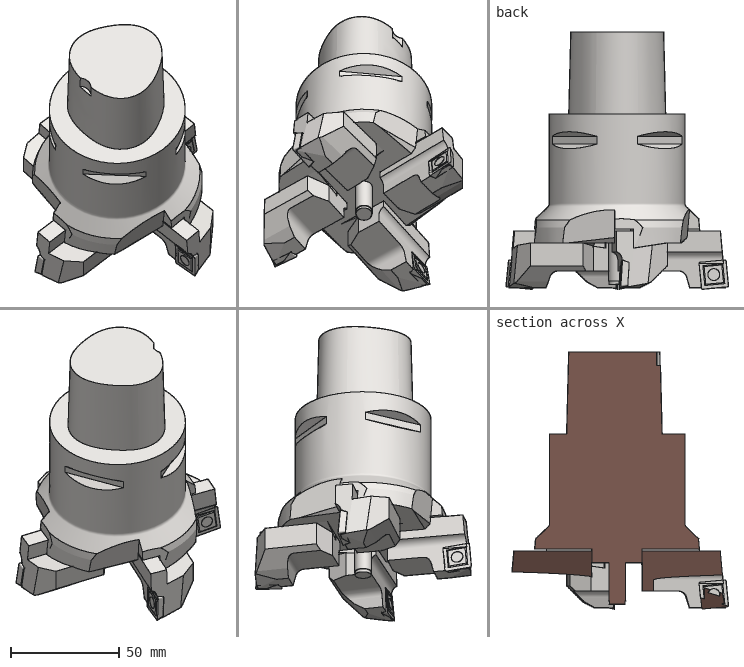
import cadquery as cq
import math

TOP_Z = 119.2
FLANGE_Z = 81.2
SHANK_MEAN_RADIUS = 22.2
SHANK_LOBE = 1.3
SHANK_TAPER = 1.0
SHANK_FLAT_HALF_ANGLE = 34.0
KEY_RADIUS = 5.4
KEY_WALL_Y = 18.4
KEY_HEIGHT = 6.3

COLLAR_RADIUS = 31.5
COLLAR_FOOT_Z = 39.7
GROOVE_MID_Z = 69.0
GROOVE_FLOOR_HEIGHT = 3.6
GROOVE_MOUTH_HEIGHT = 7.9
GROOVE_FLOOR_DISTANCE = 27.9

CONE_TOP_RADIUS = 32.2
CONE_TOP_Z = 38.1
CONE_FOOT_RADIUS = 38.3
CONE_FOOT_Z = 32.2
RIM_RADIUS = 39.3
RIM_TOP_Z = 28.6
RIM_Z = 21.5
HUB_FOOT_Z = 18.5
PIN_RADIUS = 3.99
PIN_FOOT_Z = 3.8
PIN_TIP_RADIUS = 3.7
PIN_TIP_Z = 2.3
HUB_FLAT_RADIUS = 38.7
END_TILT = 5.1
FLUTE_FLOOR_RADIUS = 33.5
FLUTE_ANGLES = [12.0, 8.0, 7.0, 11.0]
FLUTE_LEAN = 5.0
FLUTE_TOP_Z = 37.0
FLUTE_BEVEL_HEIGHT = 2.5
FLUTE_BEVEL_LENGTH = 23.8

CARTRIDGE_ANGLES = [3.4, 93.1, 180.0, 271.2]
INNER_END = 11.7
OUTER_REACH = 59.6
FACE_T = -3.0
TONGUE_BACK_T = 5.0
TONGUE_TOP_Z = 27.1
BLOCK_BACK_T = 21.0
BLOCK_FRONT_Z = 19.1
BACK_CHAMFER_Z = 10.8
SHOULDER_T = 13.2
SHOULDER_Z = 3.5
SOLE_BACK_T = 8.3
SOLE_Z = 0.7
LOWER_FACE_T = -0.4
RELIEF_RADIUS = 3.99
RELIEF_FOOT_Z = 13.6
END_RADIUS_TOP = 47.8
SIDE_FACET_T = 13.8
SIDE_FACET_ANGLE = 9.0
SIDE_FACET_TILT = 4.0
BACK_FACET_ANGLE = 37.5
SIDE_FACET_RADIUS = 47.0
SOLE_RELIEF_RADIUS = 39.1
SOLE_RISE_OUTWARD = 0.15
SOLE_RISE_BACK = 0.2
ARCH_Z = 8.5
ARCH_RADIUS = 28.4
TOOTH_TOP_RADIUS = 32.2
TOOTH_TOP_Z = 5.2
TOOTH_FOOT_RADIUS = 33.5
INNER_FACET_T = 11.5
INNER_FACET_BACK = 17.0
SEAT_GAP = 0.5
SEAT_TOP_Z = 27.9

INSERT_SIZE = 12.6
INSERT_THICKNESS = 3.2
INSERT_CORNER = 0.7
INSERT_RADIUS = 44.7
INSERT_MID_Z = 6.8
INSERT_FACE_T = -0.7
INSERT_LEAD_ANGLE = 5.4
INSERT_RAKE = 4.0
INSERT_CLEARANCE = 15.0
DIMPLE_RADIUS = 2.7
DIMPLE_DEPTH = 0.1
LAND_FOOT_SIZE = 9.3
LAND_TOP_SIZE = 8.2
LAND_HEIGHT = 0.4

BIG = 119.2


def half_space(point, normal):
    """Large block that fills the side of a plane toward which the normal points."""
    return cq.Workplane(cq.Plane(origin=point, normal=normal)).rect(BIG, BIG).extrude(BIG)


def tilted_end(radius, t, z, turn=0.0, lean=END_TILT):
    """Space outside an end face that is turned about Z and leans outward toward the foot."""
    turn_rad = math.radians(turn)
    tilt = math.radians(lean)
    normal = (
        math.cos(tilt) * math.cos(turn_rad),
        math.cos(tilt) * math.sin(turn_rad),
        math.sin(tilt),
    )
    return half_space((radius, t, z), normal)


def turned(shape, angle):
    return shape.rotate((0, 0, 0), (0, 0, 1), angle)


def shank_section(z, mean_radius):
    """Three-lobed outline in six smooth stretches: three flat sides and three lobes."""
    def point(angle):
        radius = mean_radius + SHANK_LOBE * math.cos(3 * math.radians(angle - 90))
        return cq.Vector(
            radius * math.cos(math.radians(angle)), radius * math.sin(math.radians(angle)), z
        )

    edges = []
    steps = 12
    for flat_mid in (-90, 30, 150):
        start = flat_mid - SHANK_FLAT_HALF_ANGLE
        middle = flat_mid + SHANK_FLAT_HALF_ANGLE
        end = start + 120
        for first, last in ((start, middle), (middle, end)):
            points = [point(first + (last - first) * i / steps) for i in range(steps + 1)]
            edges.append(cq.Edge.makeSpline(points))
    return cq.Wire.assembleEdges(edges)


def make_shank():
    sections = [
        shank_section(FLANGE_Z, SHANK_MEAN_RADIUS),
        shank_section(TOP_Z, SHANK_MEAN_RADIUS - SHANK_TAPER),
    ]
    shank = cq.Workplane(cq.Solid.makeLoft(sections, True))
    notch = (
        cq.Workplane("XY", origin=(0, -KEY_WALL_Y - KEY_RADIUS, TOP_Z - KEY_HEIGHT))
        .circle(KEY_RADIUS)
        .extrude(KEY_HEIGHT)
    )
    return shank.cut(notch)


def hub_outside(foot_z):
    """Collar, cone and rim as one turned solid that ends flat at foot_z."""
    return (
        cq.Workplane("XZ")
        .moveTo(0, FLANGE_Z)
        .lineTo(COLLAR_RADIUS, FLANGE_Z)
        .lineTo(COLLAR_RADIUS, COLLAR_FOOT_Z)
        .tangentArcPoint((CONE_TOP_RADIUS, CONE_TOP_Z), relative=False)
        .lineTo(CONE_FOOT_RADIUS, CONE_FOOT_Z)
        .lineTo(RIM_RADIUS, RIM_TOP_Z)
        .lineTo(RIM_RADIUS, foot_z)
        .lineTo(0, foot_z)
        .close()
        .revolve(360, (0, 0, 0), (0, 1, 0))
    )


def cartridge_cover():
    """Block of hub material that rests on the sloping top of one cartridge."""
    return (
        cq.Workplane("YZ", origin=(INNER_END, 0, 0))
        .polyline([
            (TONGUE_BACK_T, BLOCK_FRONT_Z),
            (BLOCK_BACK_T, RIM_Z),
            (BLOCK_BACK_T, RIM_TOP_Z),
            (TONGUE_BACK_T, RIM_TOP_Z),
        ])
        .close()
        .extrude(OUTER_REACH)
    )


def gripper_groove():
    """Trapezoidal groove across the collar on the +X side."""
    depth = COLLAR_RADIUS - GROOVE_FLOOR_DISTANCE
    floor_half = GROOVE_FLOOR_HEIGHT / 2
    mouth_half = GROOVE_MOUTH_HEIGHT / 2
    return (
        cq.Workplane("XZ", origin=(GROOVE_FLOOR_DISTANCE, 0, GROOVE_MID_Z))
        .polyline([(0, -floor_half), (depth, -mouth_half), (depth, mouth_half), (0, floor_half)])
        .close()
        .extrude(COLLAR_RADIUS, both=True)
    )


def flute(angle):
    """Chip space in front of one cartridge: a leaning flat floor that ends at the leading face."""
    turn = math.radians(-angle)
    lean = math.radians(FLUTE_LEAN)
    outward = (
        math.cos(lean) * math.cos(turn),
        math.cos(lean) * math.sin(turn),
        -math.sin(lean),
    )
    floor = half_space((FLUTE_FLOOR_RADIUS, FACE_T, FLUTE_TOP_Z), outward)
    bevel_z = RIM_Z + FLUTE_BEVEL_HEIGHT
    bevel_radius = FLUTE_FLOOR_RADIUS - (FLUTE_TOP_Z - bevel_z) * math.tan(lean)
    bevel_fall = FLUTE_BEVEL_HEIGHT / FLUTE_BEVEL_LENGTH
    bevel = half_space(
        (bevel_radius, FACE_T, bevel_z), (1, bevel_fall - math.tan(math.radians(angle)), -1)
    )
    ahead_of_face = half_space((0, FACE_T, 0), (0, -1, 0))
    return floor.union(bevel).intersect(ahead_of_face)


def tongue_seat():
    """Slot in the hub for one tongue, with clearance above and behind it."""
    width = TONGUE_BACK_T + SEAT_GAP - FACE_T
    return cq.Workplane("XY").box(OUTER_REACH, width, SEAT_TOP_Z, centered=False).translate(
        (INNER_END, FACE_T, 0)
    )


def make_hub(cartridge):
    hub = hub_outside(RIM_Z)
    for angle in CARTRIDGE_ANGLES:
        hub = hub.union(turned(cartridge_cover(), angle).intersect(hub_outside(HUB_FOOT_Z)))
    for angle, flute_angle in zip(CARTRIDGE_ANGLES, FLUTE_ANGLES):
        hub = hub.cut(turned(flute(flute_angle), angle))
        hub = hub.cut(turned(tilted_end(HUB_FLAT_RADIUS, 0, RIM_Z), angle))
        hub = hub.cut(turned(tongue_seat(), angle))
        hub = hub.cut(turned(cartridge, angle))
    for quarter in range(4):
        hub = hub.cut(turned(gripper_groove(), 45 + 90 * quarter))
    pin = cq.Workplane("XY", origin=(0, 0, PIN_FOOT_Z)).circle(PIN_RADIUS)
    pin = pin.extrude(SEAT_TOP_Z - PIN_FOOT_Z)
    tip = cq.Workplane("XY", origin=(0, 0, PIN_TIP_Z)).circle(PIN_TIP_RADIUS)
    tip = tip.extrude(PIN_FOOT_Z - PIN_TIP_Z)
    return hub.union(make_shank()).union(pin).union(tip)


def cartridge_profile():
    """Tongue and block seen along the radius, run out along the radius."""
    hollow_t = LOWER_FACE_T - RELIEF_RADIUS
    lip_z = RELIEF_FOOT_Z + math.sqrt(RELIEF_RADIUS**2 - (FACE_T - hollow_t) ** 2)
    mid = math.atan2(lip_z - RELIEF_FOOT_Z, FACE_T - hollow_t) / 2
    hollow_mid = (
        hollow_t + RELIEF_RADIUS * math.cos(mid), RELIEF_FOOT_Z + RELIEF_RADIUS * math.sin(mid)
    )
    return (
        cq.Workplane("YZ", origin=(INNER_END, 0, 0))
        .moveTo(FACE_T, TONGUE_TOP_Z)
        .lineTo(TONGUE_BACK_T, TONGUE_TOP_Z)
        .lineTo(TONGUE_BACK_T, BLOCK_FRONT_Z)
        .lineTo(BLOCK_BACK_T, RIM_Z)
        .lineTo(BLOCK_BACK_T, BACK_CHAMFER_Z)
        .lineTo(SHOULDER_T, SHOULDER_Z)
        .lineTo(SOLE_BACK_T, SOLE_Z)
        .lineTo(LOWER_FACE_T, SOLE_Z)
        .lineTo(LOWER_FACE_T, RELIEF_FOOT_Z)
        .threePointArc(hollow_mid, (FACE_T, lip_z))
        .close()
        .extrude(OUTER_REACH)
    )


def under_arch():
    """Space under the inner part of the cartridge, up to the inner side of the tooth."""
    return (
        cq.Workplane("XZ")
        .moveTo(0, ARCH_Z)
        .lineTo(ARCH_RADIUS, ARCH_Z)
        .tangentArcPoint((TOOTH_TOP_RADIUS, TOOTH_TOP_Z), relative=False)
        .lineTo(TOOTH_FOOT_RADIUS, SOLE_Z)
        .lineTo(TOOTH_FOOT_RADIUS, 0)
        .lineTo(0, 0)
        .close()
        .extrude(BIG, both=True)
    )


def inner_corner():
    """Wedge off the trailing inner corner."""
    return (
        cq.Workplane("XY")
        .polyline([
            (INNER_END, INNER_FACET_T),
            (INNER_FACET_BACK, BLOCK_BACK_T),
            (INNER_END, BLOCK_BACK_T),
        ])
        .close()
        .extrude(TONGUE_TOP_Z)
    )


def make_cartridge(insert_blank):
    back_turn = math.radians(BACK_FACET_ANGLE)
    cuts = [
        tilted_end(END_RADIUS_TOP, 0, TONGUE_TOP_Z),
        tilted_end(SIDE_FACET_RADIUS, SIDE_FACET_T, RIM_Z, SIDE_FACET_ANGLE, SIDE_FACET_TILT),
        half_space(
            (SIDE_FACET_RADIUS, SIDE_FACET_T, 0), (math.cos(back_turn), math.sin(back_turn), 0)
        ),
        half_space(
            (SOLE_RELIEF_RADIUS, SOLE_BACK_T, SOLE_Z), (SOLE_RISE_OUTWARD, SOLE_RISE_BACK, -1)
        ),
        under_arch(),
        inner_corner(),
        insert_blank,
    ]
    cartridge = cartridge_profile()
    for cut in cuts:
        cartridge = cartridge.cut(cut)
    return cartridge


def seat_insert(shape):
    """Move an insert from the origin, face toward -Y, to its seat on the +X cartridge."""
    return (
        shape.rotate((0, 0, 0), (0, 1, 0), -INSERT_LEAD_ANGLE)
        .rotate((0, 0, 0), (1, 0, 0), -INSERT_RAKE)
        .translate((INSERT_RADIUS, INSERT_FACE_T, INSERT_MID_Z))
    )


def make_insert_blank():
    """Plain square plate whose sides draw in behind the cutting edges."""
    return (
        cq.Workplane("XZ")
        .rect(INSERT_SIZE, INSERT_SIZE)
        .extrude(-INSERT_THICKNESS, taper=INSERT_CLEARANCE)
        .edges("not(|X or |Z)")
        .fillet(INSERT_CORNER)
    )


def make_insert():
    """Plate with a raised square land around a shallow round dimple."""
    land = (
        cq.Workplane("XZ")
        .rect(LAND_FOOT_SIZE, LAND_FOOT_SIZE)
        .workplane(offset=LAND_HEIGHT)
        .rect(LAND_TOP_SIZE, LAND_TOP_SIZE)
        .loft(ruled=True)
    )
    dimple = cq.Workplane("XZ", origin=(0, -LAND_HEIGHT, 0)).circle(DIMPLE_RADIUS)
    return make_insert_blank().union(land).cut(dimple.extrude(-DIMPLE_DEPTH))


cartridge = make_cartridge(seat_insert(make_insert_blank()))
insert = seat_insert(make_insert())
hub = make_hub(cartridge)
cartridges = [turned(cartridge, angle).val() for angle in CARTRIDGE_ANGLES]
inserts = [turned(insert, angle).val() for angle in CARTRIDGE_ANGLES]

result = cq.Compound.makeCompound([hub.val(), *cartridges, *inserts])